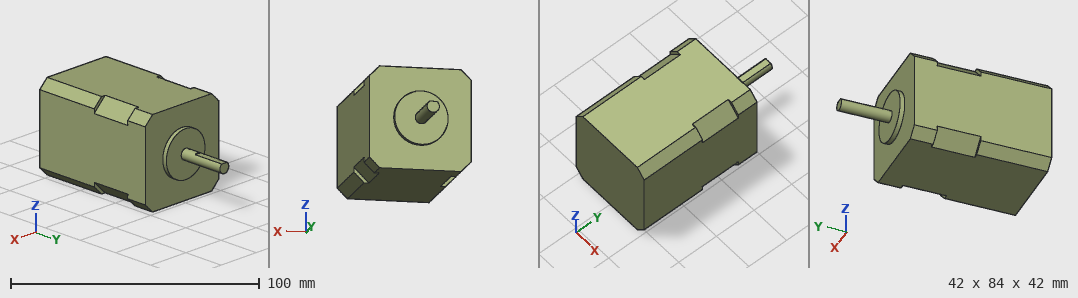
import cadquery as cq

total_length = 84.0
body_width = 42.0
shaft_reach = 24.0
body_length = total_length - shaft_reach

edge_chamfer = 4.2
recess_chamfer = 6.2
recess_setback = 10.0
recess_length = 19.0

pilot_diameter = 22.0
pilot_height = 2.0
shaft_diameter = 5.0
flat_length = 15.0
flat_depth = 0.5


def chamfered_block(length, chamfer, rear_y):
    """Square block along Y with its four long edges chamfered."""
    return (
        cq.Workplane("XY")
        .box(body_width, length, body_width, centered=(True, False, True))
        .edges("|Y")
        .chamfer(chamfer)
        .translate((0, rear_y, 0))
    )


def cylinder_from_face(diameter, length):
    """Cylinder on the motor axis, rising from the mounting face."""
    return cq.Workplane("XZ", origin=(0, face_y, 0)).circle(diameter / 2).extrude(-length)


rear_y = -total_length / 2
face_y = rear_y + body_length
tip_y = total_length / 2

recess_front_y = face_y - recess_setback
recess_rear_y = recess_front_y - recess_length
body = (
    chamfered_block(recess_rear_y - rear_y, edge_chamfer, rear_y)
    .union(chamfered_block(recess_length, recess_chamfer, recess_rear_y))
    .union(chamfered_block(recess_setback, edge_chamfer, recess_front_y))
)

flat_cutter = (
    cq.Workplane("XY")
    .box(shaft_diameter, flat_length, shaft_diameter, centered=(True, False, False))
    .translate((0, tip_y - flat_length, shaft_diameter / 2 - flat_depth))
)
shaft = cylinder_from_face(shaft_diameter, shaft_reach).cut(flat_cutter)

pilot = cylinder_from_face(pilot_diameter, pilot_height)
result = body.union(pilot).union(shaft)